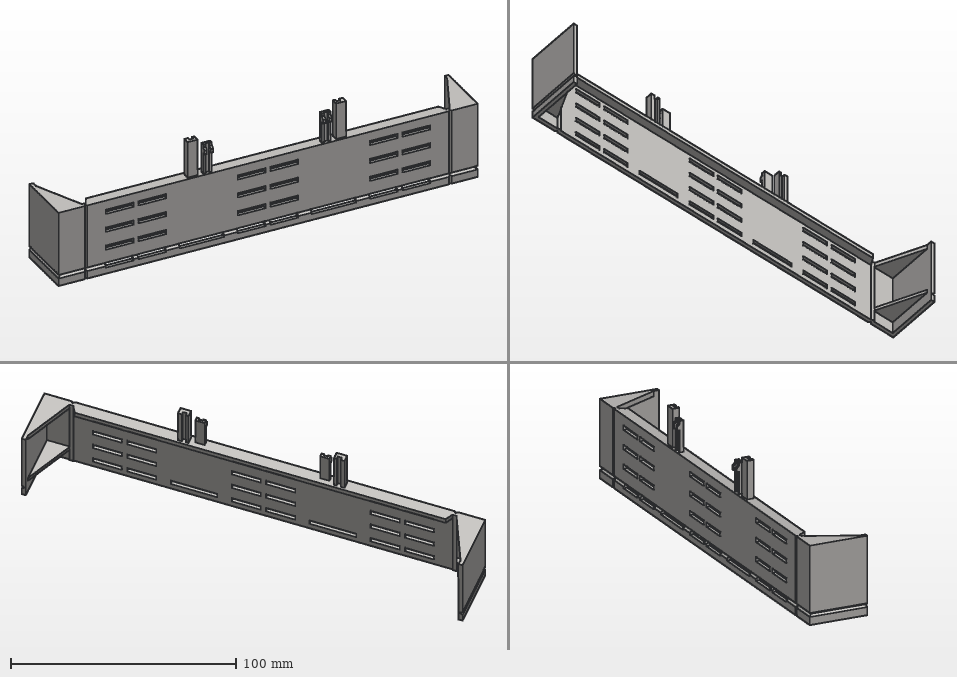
import cadquery as cq

length = 209.5
depth = 28.5
body_height = 37.7
total_height = 56.0
wall = 1.95

half_length = length / 2
panel_half_length = 90.0
rim_depth = 5.9
rim_height = 2.5
rim_bevel = 2.0

wing_start = 92.0
hinge_thickness = 2.3
wing_tip_length = 2.7
shelf_bottom = 7.0
shelf_thickness = 1.9

hinge_groove_width = 1.5
hinge_groove_depth = 0.8
fold_groove_z = 4.8
fold_groove_width = 1.9
fold_groove_depth = 1.3

slot_length = 13.8
slot_gap = 2.5
slot_height = 2.0
long_slot_length = 22.2
slot_group_pitch = 66.0
slot_row_count = 4
slot_row_pitch = 9.2
first_slot_row_z = 4.2

post_inner_y = 34.5
post_width = 5.0
back_gap = 1.3
post_depth = 3.4
post_inner_arm = 1.3
post_groove_width = 1.9
post_groove_depth = 1.5
clip_inner_y = 27.5
clip_width = 4.5
clip_arm = 1.3
clip_web = 1.3
clip_depth = 1.9
clip_top = 52.5
hook_drop = 1.3
hook_slope_height = 1.3
hook_face_height = 1.9


def box(x_range, y_range, z_range):
    """Box spanning the given (low, high) limits along each axis."""
    sizes = [high - low for low, high in (x_range, y_range, z_range)]
    corner = (x_range[0], y_range[0], z_range[0])
    return cq.Workplane("XY").box(*sizes, centered=False).translate(corner)


def plate(points, bottom, thickness):
    """Horizontal plate with an XY outline."""
    return cq.Workplane("XY").workplane(offset=bottom).polyline(points).close().extrude(thickness)


def both_ends(half):
    """A shape together with its mirror image across Y = 0."""
    return half.union(half.mirror("XZ"))


def make_panel():
    panel = box((-wall, 0), (-panel_half_length, panel_half_length), (0, body_height))
    rim_front_half = panel_half_length - rim_bevel
    rim_outline = [
        (0, -panel_half_length),
        (-hinge_thickness, -panel_half_length),
        (-rim_depth, -rim_front_half),
        (-rim_depth, rim_front_half),
        (-hinge_thickness, panel_half_length),
        (0, panel_half_length),
    ]
    return panel.union(plate(rim_outline, body_height - rim_height, rim_height))


def make_wing():
    """Wing at the +Y end: back wall, end wall, top plate and lower shelf."""
    back = box((-wall, 0), (wing_start, half_length), (0, body_height))
    end = box((-depth, 0), (half_length - wall, half_length), (0, body_height))
    outline = [
        (0, wing_start),
        (-hinge_thickness, wing_start),
        (-depth + wing_tip_length, half_length - wall),
        (-depth, half_length - wall),
        (-depth, half_length),
        (0, half_length),
    ]
    top = plate(outline, body_height - rim_height, rim_height)
    shelf = plate(outline, shelf_bottom, shelf_thickness)
    return back.union(end).union(top).union(shelf)


def make_hinge():
    """Strip that joins the panel to the +Y wing."""
    return box((-hinge_thickness, 0), (panel_half_length, wing_start), (0, body_height))


def make_slot(y, z, slot_size):
    """Cutter through the panel wall, centred on (y, z)."""
    y_range = (y - slot_size / 2, y + slot_size / 2)
    z_range = (z - slot_height / 2, z + slot_height / 2)
    return box((-wall, 0), y_range, z_range)


def make_slots():
    """Cutters for three groups of paired slots and the long slots between them in the lowest row."""
    slots = cq.Workplane("XY")
    pair_offset = (slot_length + slot_gap) / 2
    for side in (-1, 1):
        for row in range(slot_row_count):
            z = first_slot_row_z + row * slot_row_pitch
            for group in (-1, 0, 1):
                y = group * slot_group_pitch + side * pair_offset
                slots = slots.add(make_slot(y, z, slot_length))
        slots = slots.add(make_slot(side * slot_group_pitch / 2, first_slot_row_z, long_slot_length))
    return slots.combine()


def make_hinge_groove():
    """Vertical V cutter in the back face, in the middle of the +Y hinge strip."""
    middle = (panel_half_length + wing_start) / 2
    half_width = hinge_groove_width / 2
    outline = [(0, middle - half_width), (-hinge_groove_depth, middle), (0, middle + half_width)]
    return plate(outline, 0, body_height)


def make_fold_grooves():
    """Horizontal V cutters along the back face and the two end faces."""
    low = fold_groove_z - fold_groove_width / 2
    high = fold_groove_z + fold_groove_width / 2
    back = (
        cq.Workplane("XZ", origin=(0, half_length, 0))
        .polyline([(0, low), (-fold_groove_depth, fold_groove_z), (0, high)])
        .close()
        .extrude(length)
    )
    inner_y = half_length - fold_groove_depth
    end = (
        cq.Workplane("YZ", origin=(-depth, 0, 0))
        .polyline([(half_length, low), (inner_y, fold_groove_z), (half_length, high)])
        .close()
        .extrude(depth)
    )
    return back.union(both_ends(end))


def make_post():
    """Post on the +Y side with a full-height groove facing the front."""
    back_x = -back_gap
    front_x = back_x - post_depth
    heights = (body_height, total_height)
    post = box((front_x, back_x), (post_inner_y, post_inner_y + post_width), heights)
    groove_y = post_inner_y + post_inner_arm
    groove = box((front_x, front_x + post_groove_depth), (groove_y, groove_y + post_groove_width), heights)
    return post.cut(groove)


def make_clip():
    """Channel-shaped clip on the +Y side whose two arms end in hooks pointing backwards."""
    back_x = -back_gap
    clip_front_x = back_x - clip_depth
    clip_outer_y = clip_inner_y + clip_width
    hook_top = clip_top - hook_drop
    hook_face_top = hook_top - hook_slope_height
    hook_bottom = hook_face_top - hook_face_height
    side_outline = [
        (clip_front_x, body_height),
        (back_x, body_height),
        (back_x, hook_bottom),
        (0, hook_bottom),
        (0, hook_face_top),
        (back_x, hook_top),
        (back_x, clip_top),
        (clip_front_x, clip_top),
    ]
    clip = cq.Workplane("XZ", origin=(0, clip_outer_y, 0)).polyline(side_outline).close().extrude(clip_width)
    channel = box(
        (clip_front_x + clip_web, 0),
        (clip_inner_y + clip_arm, clip_outer_y - clip_arm),
        (body_height, clip_top),
    )
    return clip.cut(channel)


body = make_panel().union(both_ends(make_wing())).union(both_ends(make_hinge()))
body = body.cut(make_slots()).cut(both_ends(make_hinge_groove())).cut(make_fold_grooves())
result = body.union(both_ends(make_post())).union(both_ends(make_clip()))